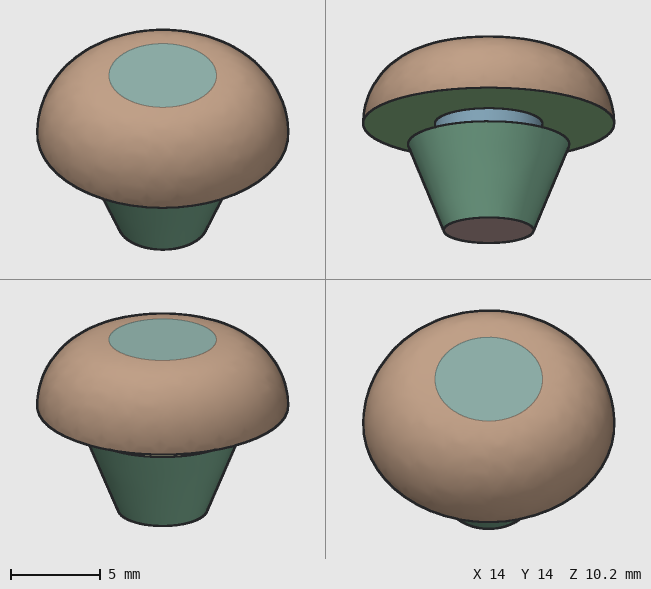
import cadquery as cq
import math

head_radius = 7.0
head_height = 4.0
neck_radius = 3.0
neck_height = 1.2
plug_top_radius = 4.5
plug_tip_radius = 2.5
plug_height = 5.0

neck_base = plug_height
head_base = neck_base + neck_height
head_top = head_base + head_height

flat_radius = head_radius - head_height
arc_mid_offset = head_height * math.sqrt(0.5)

profile = (
    cq.Workplane("XZ")
    .moveTo(0, 0)
    .lineTo(plug_tip_radius, 0)
    .lineTo(plug_top_radius, neck_base)
    .lineTo(neck_radius, neck_base)
    .lineTo(neck_radius, head_base)
    .lineTo(head_radius, head_base)
    .threePointArc(
        (flat_radius + arc_mid_offset, head_base + arc_mid_offset),
        (flat_radius, head_top),
    )
    .lineTo(0, head_top)
    .close()
)

result = profile.revolve(360, (0, 0, 0), (0, 1, 0))